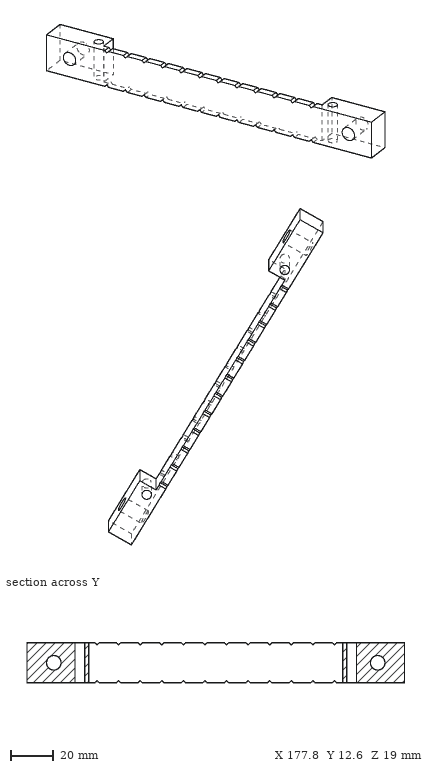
import cadquery as cq

length = 177.8
depth = 12.6
height = 19.0

block_length = 29.2
web_thickness = 3.7

cross_hole_diameter = 6.8
cross_hole_inset = 12.6
upright_hole_diameter = 4.5
upright_hole_inset = 24.9

notch_count = 12
notch_span = 111.8
notch_width = 2.1
notch_depth = notch_width / 2
notch_pitch = notch_span / (notch_count - 1)


def mirrored_positions(inset):
    """Points on the X axis, the given distance in from each end."""
    x = length / 2 - inset
    return [(-x, 0), (x, 0)]


def end_blocks_and_web():
    """The full bar relieved from the +Y face between the end blocks."""
    bar = cq.Workplane("XY").box(length, depth, height)
    recess_length = length - 2 * block_length
    recess_depth = depth - web_thickness
    recess = (
        cq.Workplane("XY")
        .box(recess_length, recess_depth, height)
        .translate((0, web_thickness / 2, 0))
    )
    return bar.cut(recess)


def through_holes(plane, inset, diameter, through):
    """Cutters for a mirrored pair of holes passing fully through the bar."""
    return (
        cq.Workplane(plane)
        .pushPoints(mirrored_positions(inset))
        .circle(diameter / 2)
        .extrude(through / 2, both=True)
    )


def notch_pair(x):
    """Opposed V cutters at one place along the bar, running through in Y."""
    cutters = cq.Workplane("XZ")
    for side in (1, -1):
        edge = side * height / 2
        cutters = (
            cutters.moveTo(x - notch_width / 2, edge)
            .lineTo(x + notch_width / 2, edge)
            .lineTo(x, edge - side * notch_depth)
            .close()
        )
    return cutters.extrude(depth / 2, both=True)


result = end_blocks_and_web()
result = result.cut(through_holes("XZ", cross_hole_inset, cross_hole_diameter, depth))
result = result.cut(through_holes("XY", upright_hole_inset, upright_hole_diameter, height))
for index in range(notch_count):
    result = result.cut(notch_pair(index * notch_pitch - notch_span / 2))